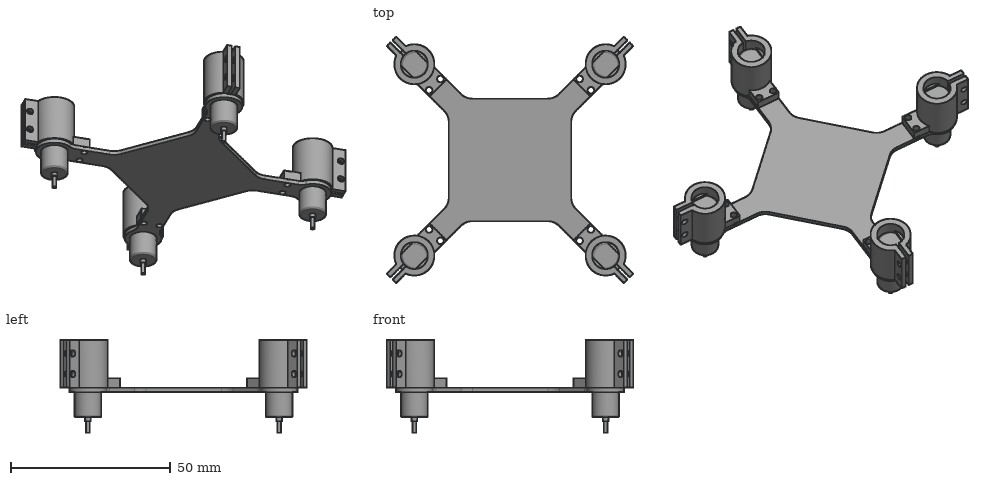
import cadquery as cq
import math

SPAN = 77.3
MOTOR_OFFSET = 30.0
MOTOR_REACH = MOTOR_OFFSET * math.sqrt(2)
CORNER_ANGLES = [45, 135, 225, 315]

PLATE_THICKNESS = 1.4
PLATE_SIDE = 38.5
ARM_WIDTH = 7.5
PLATE_CORNER_RADIUS = 5.0
ARM_END_RADIUS = 5.8
ARM_END_BLEND = 3.55
SELECT_MARGIN = 0.1

MOTOR_DIAMETER = 8.5
MOTOR_RIM_RADIUS = 0.5
MOTOR_BOTTOM = -9.3
BOSS_DIAMETER = 1.9
BOSS_HEIGHT = 1.2
SHAFT_DIAMETER = 1.3
SHAFT_BOTTOM = -14.2

CLAMP_HEIGHT = 15.0
CLAMP_DIAMETER = 12.6
LIP_TOP_DEPTH = 3.3
LIP_THICKNESS = 0.7
LIP_SPACING = 6.5
MOTOR_TOP = CLAMP_HEIGHT - LIP_TOP_DEPTH - LIP_THICKNESS
SLIT_WIDTH = 1.0
EARS_WIDTH = 4.2
EAR_REACH = (SPAN / 2 - MOTOR_OFFSET) * math.sqrt(2) - EARS_WIDTH / 2
EAR_HOLE_DIAMETER = 2.0
EAR_HOLE_REACH = 8.65
EAR_HOLE_SPACING = 6.5

FOOT_REACH = 10.5
FOOT_HEIGHT = 3.0
SCREW_DIAMETER = 2.0
SCREW_SPACING = 5.0
SCREW_REACH = 9.05


def place_on_arm(body, angle):
    """Move a body from the origin, with +X pointing outward, to the end of the arm at this angle."""
    return body.translate((MOTOR_REACH, 0, 0)).rotate((0, 0, 0), (0, 0, 1), angle)


def screw_holes():
    """Cutters for the two screws through the foot and the arm."""
    return (
        cq.Workplane(origin=(-SCREW_REACH, 0, -PLATE_THICKNESS))
        .rarray(0.8, SCREW_SPACING, 1, 2)
        .circle(SCREW_DIAMETER / 2)
        .extrude(PLATE_THICKNESS + FOOT_HEIGHT)
    )


def make_arm():
    """One arm from the plate centre to its round end, ready to turn."""
    arm = cq.Workplane().rect(MOTOR_REACH, ARM_WIDTH).extrude(-PLATE_THICKNESS)
    arm = arm.translate((MOTOR_REACH / 2, 0, 0))
    end = cq.Workplane().center(MOTOR_REACH, 0).circle(ARM_END_RADIUS).extrude(-PLATE_THICKNESS)
    neck_reach = MOTOR_REACH - math.sqrt(ARM_END_RADIUS**2 - (ARM_WIDTH / 2) ** 2)
    neck = cq.selectors.BoxSelector(
        (neck_reach - SELECT_MARGIN, -ARM_WIDTH, -PLATE_THICKNESS),
        (neck_reach + SELECT_MARGIN, ARM_WIDTH, 0),
    )
    return arm.union(end).edges("|Z").edges(neck).fillet(ARM_END_BLEND)


def make_frame():
    """Square plate with four arms, holed for the motors and the clamp screws."""
    frame = cq.Workplane().rect(PLATE_SIDE, PLATE_SIDE).extrude(-PLATE_THICKNESS)
    for angle in CORNER_ANGLES:
        frame = frame.union(make_arm().rotate((0, 0, 0), (0, 0, 1), angle))

    reach = PLATE_SIDE / 2 + SELECT_MARGIN
    inner_corners = cq.selectors.BoxSelector((-reach, -reach, -PLATE_THICKNESS), (reach, reach, 0))
    frame = frame.edges("|Z").edges(inner_corners).fillet(PLATE_CORNER_RADIUS)

    motor_hole = cq.Workplane().circle(MOTOR_DIAMETER / 2).extrude(-PLATE_THICKNESS)
    openings = motor_hole.union(screw_holes())
    for angle in CORNER_ANGLES:
        frame = frame.cut(place_on_arm(openings, angle))
    return frame


def make_clamp():
    """Split barrel on a foot, with its axis at the origin and its ears along +X."""
    barrel = cq.Workplane().circle(CLAMP_DIAMETER / 2).extrude(CLAMP_HEIGHT)
    ears = cq.Workplane().center(EAR_REACH / 2, 0).rect(EAR_REACH, EARS_WIDTH).extrude(CLAMP_HEIGHT)
    foot = cq.Workplane().center(-FOOT_REACH / 2, 0).rect(FOOT_REACH, ARM_WIDTH).extrude(FOOT_HEIGHT)
    clamp = barrel.union(ears).union(foot)

    bore = cq.Workplane().circle(MOTOR_DIAMETER / 2).extrude(CLAMP_HEIGHT)
    lip_ring = cq.Workplane(origin=(0, 0, MOTOR_TOP)).circle(MOTOR_DIAMETER / 2).extrude(LIP_THICKNESS)
    between_lips = (
        cq.Workplane(origin=(0, 0, MOTOR_TOP))
        .rect(MOTOR_DIAMETER, LIP_SPACING)
        .extrude(LIP_THICKNESS)
    )
    lips = lip_ring.cut(between_lips)
    slit = cq.Workplane().center(EAR_REACH / 2, 0).rect(EAR_REACH, SLIT_WIDTH).extrude(CLAMP_HEIGHT)
    ear_holes = (
        cq.Workplane("XZ", origin=(EAR_HOLE_REACH, 0, CLAMP_HEIGHT / 2))
        .rarray(0.8, EAR_HOLE_SPACING, 1, 2)
        .circle(EAR_HOLE_DIAMETER / 2)
        .extrude(EARS_WIDTH / 2, both=True)
    )
    clamp = clamp.cut(bore.cut(lips))
    return clamp.cut(slit).cut(ear_holes).cut(screw_holes())


def make_motor():
    """Can with rounded rims, bearing boss and shaft, pointing down."""
    can = (
        cq.Workplane(origin=(0, 0, MOTOR_BOTTOM))
        .circle(MOTOR_DIAMETER / 2)
        .extrude(MOTOR_TOP - MOTOR_BOTTOM)
        .edges("%CIRCLE")
        .fillet(MOTOR_RIM_RADIUS)
    )
    boss = (
        cq.Workplane(origin=(0, 0, MOTOR_BOTTOM)).circle(BOSS_DIAMETER / 2).extrude(-BOSS_HEIGHT)
    )
    shaft = (
        cq.Workplane(origin=(0, 0, SHAFT_BOTTOM))
        .circle(SHAFT_DIAMETER / 2)
        .extrude(MOTOR_BOTTOM - SHAFT_BOTTOM)
    )
    return can.union(boss).union(shaft)


frame = make_frame()
clamps = [place_on_arm(make_clamp(), angle) for angle in CORNER_ANGLES]
motors = [place_on_arm(make_motor(), angle) for angle in CORNER_ANGLES]

result = cq.Compound.makeCompound([body.solids().val() for body in [frame, *clamps, *motors]])